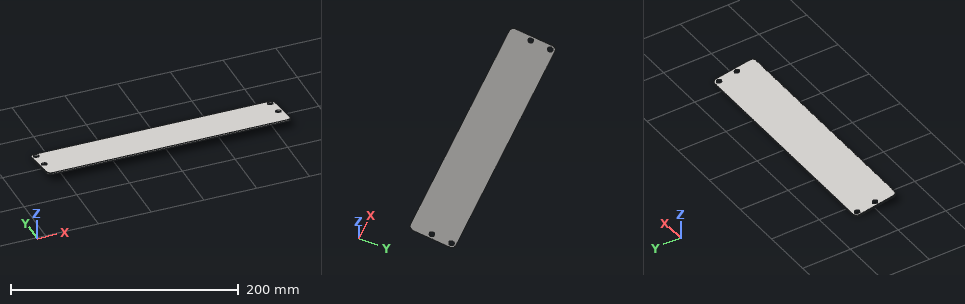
import cadquery as cq
import math

length = 231.1
depth = 44.1

thickness = 1.6
tilt = 9.5
corner_radius = 4.6

hole_diameter = 4.6
edge_inset = 4.6
row_pitch = 19.0

tilt_angle = math.radians(tilt)
width = (depth - thickness * math.sin(tilt_angle)) / math.cos(tilt_angle)

hole_x = length / 2 - edge_inset
first_row_y = width / 2 - edge_inset
hole_centers = [
    (x, y)
    for x in (-hole_x, hole_x)
    for y in (first_row_y, first_row_y - row_pitch)
]

plate = (
    cq.Workplane("XY")
    .box(length, width, thickness)
    .edges("|Z")
    .fillet(corner_radius)
    .faces(">Z")
    .workplane()
    .pushPoints(hole_centers)
    .hole(hole_diameter)
)

result = plate.rotate((0, 0, 0), (1, 0, 0), -tilt)